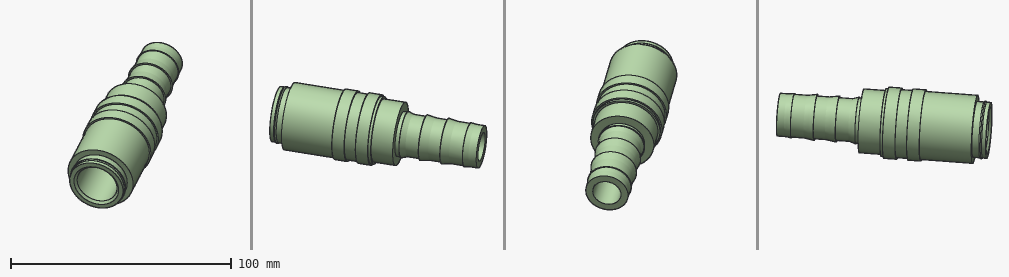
import cadquery as cq
import math

length = 96.0
hose_end = length / 2
mouth = -length / 2

tail_radius = 9.8
collar_radius = 10.4
shoulder = 37.9
barbs = [
    (3.6, 2.9, 10.2),
    (12.6, 4.3, 10.6),
    (22.4, 4.6, 10.6),
    (33.0, 3.0, 10.8),
]

sleeve_radius = 14.6
body_radius = 15.6
body_start = 48.0
body_end = 89.8
band_radius = 16.27
band_width = 5.8
band_starts = [49.2, 60.3]

nose_radius = 12.8
bead_height = 0.4
bead_from_mouth = 1.8
bead_ramp = 0.6
bead_round = 0.7

bore_radius = 6.5
socket_radius = 9.5
socket_depth = 38.4
mouth_radius = 10.7
mouth_chamfer = 1.2


def cylinder(radius, start, end):
    """Solid cylinder between two distances from the hose end."""
    plane = cq.Workplane("XZ", origin=(0, hose_end - start, 0))
    return plane.circle(radius).extrude(end - start)


def revolve_about_y(profile):
    """Full turn of an XY profile about the part axis."""
    return profile.close().revolve(360, (0, 0, 0), (0, 1, 0))


def barb(start, ramp, crest_radius):
    """Ramped ring that flares away from the hose end and stops at a sharp step."""
    ramp_top = hose_end - start
    ramp_foot = ramp_top - ramp
    profile = cq.Workplane("XY").polyline([
        (0, ramp_foot),
        (0, ramp_top),
        (tail_radius, ramp_top),
        (crest_radius, ramp_foot),
    ])
    return revolve_about_y(profile)


def snap_bead():
    """Disc that ramps up from the mouth side to a crest and rounds down behind it."""
    front = mouth + bead_from_mouth
    crest = front + bead_ramp
    back = crest + bead_round
    crest_radius = nose_radius + bead_height
    round_middle = (
        nose_radius + bead_height * math.sin(math.pi / 4),
        crest + bead_round * math.cos(math.pi / 4),
    )
    profile = (
        cq.Workplane("XY")
        .moveTo(0, front)
        .lineTo(nose_radius, front)
        .lineTo(crest_radius, crest)
        .threePointArc(round_middle, (nose_radius, back))
        .lineTo(0, back)
    )
    return revolve_about_y(profile)


def inner_cavity():
    """Through bore, wider socket and tapered lead-in at the mouth."""
    socket_floor = mouth + socket_depth
    profile = cq.Workplane("XY").polyline([
        (0, mouth),
        (mouth_radius, mouth),
        (socket_radius, mouth + mouth_chamfer),
        (socket_radius, socket_floor),
        (bore_radius, socket_floor),
        (bore_radius, hose_end),
        (0, hose_end),
    ])
    return revolve_about_y(profile)


result = cylinder(tail_radius, 0, shoulder)
for start, ramp, crest_radius in barbs:
    result = result.union(barb(start, ramp, crest_radius))
last_start, last_ramp = barbs[-1][:2]
result = result.union(cylinder(collar_radius, last_start + last_ramp, shoulder))

result = result.union(cylinder(sleeve_radius, shoulder, body_start))
result = result.union(cylinder(body_radius, body_start, body_end))
for band_start in band_starts:
    result = result.union(cylinder(band_radius, band_start, band_start + band_width))

result = result.union(cylinder(nose_radius, body_end, length))
result = result.union(snap_bead())

result = result.cut(inner_cavity())